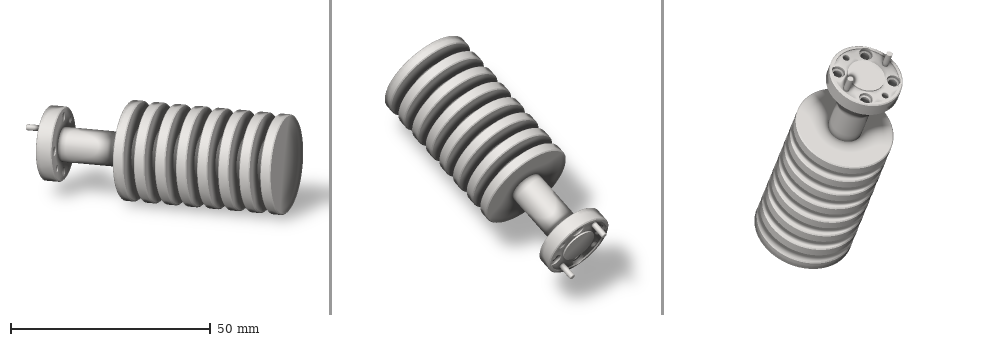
import cadquery as cq
import math

OVERALL_LENGTH = 67.4

FIN_COUNT = 8
FIN_PITCH = 5.6
FIN_THICKNESS = 2.75
FIN_DIAMETER = 25.4
FIN_CHAMFER = 0.3
CORE_DIAMETER = 12.65

FLANGE_FACE_X = 3.9
FLANGE_THICKNESS = 4.2
FLANGE_DIAMETER = 19.0
FLANGE_CHAMFER = 0.3
FACE_GROOVE_OUTER_DIAMETER = 17.05
FACE_BOSS_DIAMETER = 9.65
FACE_GROOVE_DEPTH = 0.4

BOLT_CIRCLE_RADIUS = 7.15
SCREW_HOLE_DIAMETER = 2.35
COUNTERBORE_DIAMETER = 3.5
COUNTERBORE_DEPTH = 1.3
SCREW_HOLE_COUNT = 4
PIN_DIAMETER = 1.55
PIN_CHAMFER = 0.15
OPEN_PIN_HOLE_DIAMETER = 1.75
PIN_HOLE_CHAMFER = 0.15

TUBE_DIAMETER = 8.8
WAVEGUIDE_WIDTH_Y = 1.6
WAVEGUIDE_HEIGHT_Z = 3.2

HEAT_SINK_LENGTH = (FIN_COUNT - 1) * FIN_PITCH + FIN_THICKNESS
HEAT_SINK_X = OVERALL_LENGTH - HEAT_SINK_LENGTH
FLANGE_BACK_X = FLANGE_FACE_X + FLANGE_THICKNESS
GROOVE_FLOOR_X = FLANGE_FACE_X + FACE_GROOVE_DEPTH

SCREW_ANGLES = [i * 360 / SCREW_HOLE_COUNT for i in range(SCREW_HOLE_COUNT)]
PIN_ANGLES = [135, 315]
OPEN_PIN_HOLE_ANGLES = [45, 225]


def bar(diameter, start_x, end_x, center=(0, 0)):
    """Round bar along X between two X positions, centred at (Y, Z)."""
    return (
        cq.Workplane("YZ", origin=(start_x, 0, 0))
        .center(*center)
        .circle(diameter / 2)
        .extrude(end_x - start_x)
    )


def waveguide_block(start_x, end_x):
    """Rectangular block with the waveguide's cross-section."""
    return (
        cq.Workplane("YZ", origin=(start_x, 0, 0))
        .rect(WAVEGUIDE_WIDTH_Y, WAVEGUIDE_HEIGHT_Z)
        .extrude(end_x - start_x)
    )


def on_bolt_circle(angle):
    """(Y, Z) of a point on the flange's bolt circle."""
    radians = math.radians(angle)
    return BOLT_CIRCLE_RADIUS * math.cos(radians), BOLT_CIRCLE_RADIUS * math.sin(radians)


def make_heat_sink():
    """Round core carrying evenly spaced chamfered disc fins."""
    heat_sink = bar(CORE_DIAMETER, HEAT_SINK_X, OVERALL_LENGTH)
    for i in range(FIN_COUNT):
        fin_x = HEAT_SINK_X + i * FIN_PITCH
        fin = bar(FIN_DIAMETER, fin_x, fin_x + FIN_THICKNESS)
        heat_sink = heat_sink.union(fin.edges("%CIRCLE").chamfer(FIN_CHAMFER))
    return heat_sink


def pin_hole(diameter, angle):
    """Cutter for a through hole with a chamfered mouth at the groove floor."""
    center = on_bolt_circle(angle)
    hole = bar(diameter, GROOVE_FLOOR_X, FLANGE_BACK_X, center)
    mouth = (
        cq.Workplane("YZ", origin=(GROOVE_FLOOR_X, 0, 0))
        .center(*center)
        .circle(diameter / 2 + PIN_HOLE_CHAMFER)
        .workplane(offset=PIN_HOLE_CHAMFER)
        .circle(diameter / 2)
        .loft(ruled=True)
    )
    return hole.union(mouth)


def make_flange():
    """Flange disc with a ring groove in its face, screw holes, pin holes and the waveguide opening."""
    flange = bar(FLANGE_DIAMETER, FLANGE_FACE_X, FLANGE_BACK_X).edges("%CIRCLE").chamfer(FLANGE_CHAMFER)

    groove = bar(FACE_GROOVE_OUTER_DIAMETER, FLANGE_FACE_X, GROOVE_FLOOR_X)
    groove = groove.cut(bar(FACE_BOSS_DIAMETER, FLANGE_FACE_X, GROOVE_FLOOR_X))
    flange = flange.cut(groove)

    counterbore_floor_x = FLANGE_FACE_X + COUNTERBORE_DEPTH
    for angle in SCREW_ANGLES:
        center = on_bolt_circle(angle)
        flange = flange.cut(bar(SCREW_HOLE_DIAMETER, FLANGE_FACE_X, FLANGE_BACK_X, center))
        flange = flange.cut(bar(COUNTERBORE_DIAMETER, FLANGE_FACE_X, counterbore_floor_x, center))

    for angle in PIN_ANGLES:
        flange = flange.cut(pin_hole(PIN_DIAMETER, angle))
    for angle in OPEN_PIN_HOLE_ANGLES:
        flange = flange.cut(pin_hole(OPEN_PIN_HOLE_DIAMETER, angle))

    return flange.cut(waveguide_block(FLANGE_FACE_X, FLANGE_BACK_X))


def make_tube():
    """Neck between flange and heat sink, with the waveguide running through it."""
    tube = bar(TUBE_DIAMETER, FLANGE_BACK_X, HEAT_SINK_X)
    return tube.cut(waveguide_block(FLANGE_BACK_X, HEAT_SINK_X))


def make_absorber():
    """Block that fills the waveguide, flush with the flange face."""
    return waveguide_block(FLANGE_FACE_X, HEAT_SINK_X)


def make_pin(angle):
    """Alignment pin with a chamfered tip, ending flush with the back of the flange."""
    pin = bar(PIN_DIAMETER, 0, FLANGE_BACK_X, on_bolt_circle(angle))
    return pin.faces("<X").chamfer(PIN_CHAMFER)


heat_sink = make_heat_sink()
flange = make_flange()
tube = make_tube()
absorber = make_absorber()
pins = [make_pin(angle) for angle in PIN_ANGLES]

result = cq.Compound.makeCompound(
    [heat_sink.val(), flange.val(), tube.val(), absorber.val(), *[pin.val() for pin in pins]]
)